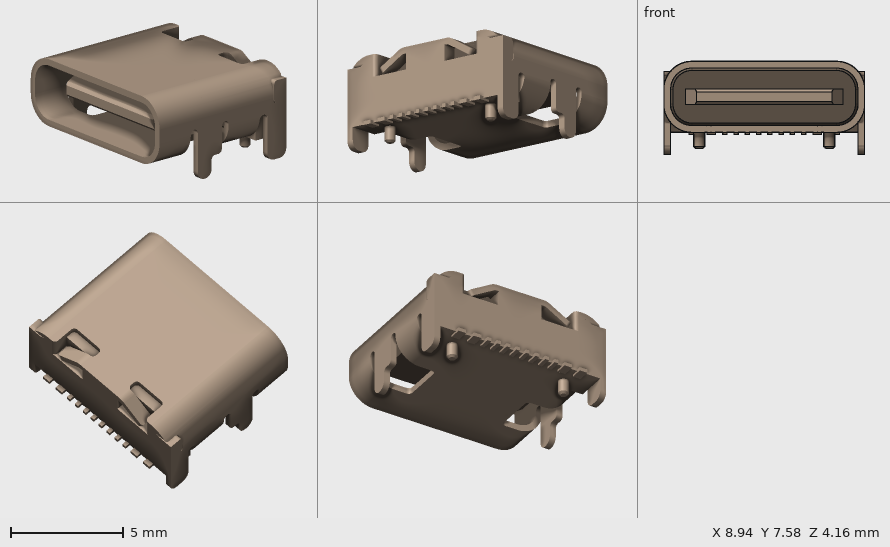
import cadquery as cq
import math


shell_width = 8.94
shell_height = 3.165
shell_length = 7.35
sheet = 0.3
corner_radius = 1.25
half_width = shell_width / 2
half_height = shell_height / 2
inner_half_width = half_width - sheet
side_flat_half = half_height - corner_radius

leg_bottom = -2.575
leg_tip_radius = 0.39
front_leg_start = 2.22
front_leg_end = 3.02
front_leg_shoulder_end = 3.61
shoulder_radius = 0.2
leg_slot = 0.4
window_edge = 2.38
rear_leg_start = 6.25
rear_cut_start = 5.82
rear_slot_radius = 0.21

side_notch_start = 6.62
ear_start = 6.65
ear_bottom = 0.05
ear_top = 1.13
ear_radius = 0.17
ear_depth = 0.89
notch_lip_radius = 0.12

notch_outer = 2.84
notch_inner = 1.1
notch_start = 6.13
notch_radius = 0.2
roof_lip_radius = 0.2
pocket_start = 6.62
bent_tab_start = 6.69
bent_tab_root = 1.225
bent_tab_tip = 2.66
bent_tab_tip_radius = 0.15
bend_angle = math.radians(30)
bend_radius = 0.58

base_start = 5.185
base_chamfer = 0.11
pocket_floor = 0.54
tongue_start = 0.85
tongue_width = 7.0
tongue_height = 0.71
tongue_tip_width = 6.01
tongue_tip_height = 0.42
tongue_side_taper_length = 0.87
tongue_face_taper_length = 0.14

peg_diameter = 0.5
peg_x = 2.9
peg_y = 6.28
peg_bottom = -2.31
peg_chamfer = 0.1

contact_end = 7.58
contact_start = 6.97
contact_top = -1.5
contact_thickness = 0.18
signal_width = 0.2
signal_pitch = 0.5
signals_per_side = 4
power_width = 0.39
power_places = [2.36, 3.16]


def box(x0, x1, y0, y1, z0, z1):
    """Box between two corners."""
    return cq.Workplane("XY").box(x1 - x0, y1 - y0, z1 - z0, centered=False).translate((x0, y0, z0))


def tube_profile(inset, start, end):
    """Rounded bar along Y whose section is the shell outline moved inwards."""
    return (
        box(inset - half_width, half_width - inset, start, end, inset - half_height, half_height - inset)
        .edges("|Y")
        .fillet(corner_radius - inset)
    )


def both_sides(body):
    """The body and its mirror image across X = 0."""
    return body.union(body.mirror("YZ"))


def leg_windows():
    """Openings in the lower corners that the front and rear legs were bent out of."""
    front_window = (
        box(-half_width, -window_edge, front_leg_start - leg_slot,
            front_leg_shoulder_end + leg_slot, -half_height, -side_flat_half)
        .edges("|Z and >X")
        .fillet(leg_slot / 2)
    )
    for slot_start in (front_leg_start - leg_slot, front_leg_shoulder_end):
        slot_end = (
            cq.Workplane("YZ", origin=(-half_width, 0, 0))
            .center(slot_start + leg_slot / 2, -side_flat_half)
            .circle(leg_slot / 2)
            .extrude(sheet)
        )
        front_window = front_window.union(slot_end)
    return both_sides(front_window)


def foot():
    """Square block of the insulator that fills the shell's lower half between the rear legs."""
    return box(-inner_half_width, inner_half_width, rear_cut_start, shell_length,
               -half_height, -side_flat_half)


def rear_cut():
    """Room for the insulator's foot, with round-topped slots in front of the rear legs."""
    slots = (
        box(-half_width, half_width, rear_cut_start, rear_leg_start, -half_height, -side_flat_half)
        .edges("|X and >Z")
        .fillet(rear_slot_radius)
    )
    return foot().union(slots)


def front_leg():
    """Leg with a wider shoulder on its rear side that ends level with the shell bottom."""
    leg = box(-half_width, -inner_half_width, front_leg_start, front_leg_end, leg_bottom, -side_flat_half)
    shoulder = box(-half_width, -inner_half_width, front_leg_start, front_leg_shoulder_end,
                   -half_height, -side_flat_half)
    leg = leg.edges("|X and <Z").fillet(leg_tip_radius)
    shoulder = shoulder.edges("|X and <Z and >Y").fillet(shoulder_radius)
    inner_corner = cq.selectors.NearestToPointSelector((-half_width + sheet / 2, front_leg_end, -half_height))
    return leg.union(shoulder).edges(inner_corner).fillet(shoulder_radius)


def rear_leg():
    """Straight leg with a rounded tip, flush with the rear end of the shell."""
    return (
        box(-half_width, -inner_half_width, rear_leg_start, shell_length, leg_bottom, -side_flat_half)
        .edges("|X and <Z")
        .fillet(leg_tip_radius)
    )


def ear(start):
    """Block with rounded front corners that reaches from inside the insulator to the side of the shell."""
    return (
        box(-half_width, ear_depth - half_width, start, shell_length, ear_bottom, ear_top)
        .edges("|X and <Y")
        .fillet(ear_radius)
    )


def lip_rounding(radius, depth):
    """Cutter that rounds off a square corner at the origin, with material towards -X and -Y."""
    arc_middle = radius * (math.sqrt(0.5) - 1)
    return (
        cq.Workplane("XY")
        .moveTo(-radius, 0)
        .threePointArc((arc_middle, arc_middle), (0, -radius))
        .lineTo(0, 0)
        .close()
        .extrude(depth)
    )


def side_notch():
    """Opening that clears the ear, with its upper corner at the rear end rounded."""
    rounding = (
        lip_rounding(notch_lip_radius, ear_depth)
        .rotate((0, 0, 0), (0, 1, 0), 90)
        .translate((-half_width, shell_length, ear_top))
    )
    return ear(side_notch_start).union(rounding)


def roof_lip(bottom):
    """Rounding of the outer corner at the rear end of a roof notch, from the given Z to the roof."""
    return lip_rounding(roof_lip_radius, half_height - bottom).translate((-notch_outer, shell_length, bottom))


def roof_notch():
    """L-shaped notch in the roof, open at the rear and wide enough for the bent tab."""
    cross_slot = (
        box(-notch_outer, -notch_inner, notch_start, bent_tab_start, 0, half_height)
        .edges("|Z and (>X or <Y)")
        .fillet(notch_radius)
    )
    opening = box(-notch_outer, -bent_tab_root, bent_tab_start - notch_radius, shell_length, 0, half_height)
    return cross_slot.union(opening).union(roof_lip(0))


def bent_tab():
    """Tab that leaves the roof at its root and slopes down towards the side wall."""
    centre_z = half_height - bend_radius

    def on_bend(radius, angle):
        """Point (X, Z) on the bend, the angle counted from straight up."""
        return (-bent_tab_root - radius * math.sin(angle), centre_z + radius * math.cos(angle))

    inner_radius = bend_radius - sheet
    outer_end = on_bend(bend_radius, bend_angle)
    inner_end = on_bend(inner_radius, bend_angle)
    run = outer_end[0] + bent_tab_tip
    drop = run * math.tan(bend_angle)
    return (
        cq.Workplane("XZ", origin=(0, shell_length, 0))
        .moveTo(*on_bend(bend_radius, 0))
        .threePointArc(on_bend(bend_radius, bend_angle / 2), outer_end)
        .lineTo(outer_end[0] - run, outer_end[1] - drop)
        .lineTo(inner_end[0] - run, inner_end[1] - drop)
        .lineTo(*inner_end)
        .threePointArc(on_bend(inner_radius, bend_angle / 2), on_bend(inner_radius, 0))
        .close()
        .extrude(shell_length - bent_tab_start)
        .faces("<X")
        .edges("not |Y")
        .fillet(bent_tab_tip_radius)
    )


def make_shell():
    """Sheet metal tube with its legs, notches and bent tabs."""
    shell = tube_profile(0, 0, shell_length).cut(tube_profile(sheet, 0, shell_length))
    shell = shell.cut(leg_windows()).cut(rear_cut())
    shell = shell.cut(both_sides(roof_notch())).cut(both_sides(side_notch()))
    for part in (front_leg(), rear_leg(), bent_tab()):
        shell = shell.union(both_sides(part))
    return shell


def tapered_strip(width, tip_width, taper_length):
    """Corners of a strip that narrows over the taper length towards its tip, as (across, Y) pairs."""
    right = [
        (tip_width / 2, tongue_start),
        (width / 2, tongue_start + taper_length),
        (width / 2, base_start),
    ]
    return right + [(-across, y) for across, y in reversed(right)]


def tongue():
    """Flat contact tongue with its tip tapered on all four sides."""
    plan = (
        cq.Workplane("XY", origin=(0, 0, -tongue_height / 2))
        .polyline(tapered_strip(tongue_width, tongue_tip_width, tongue_side_taper_length))
        .close()
        .extrude(tongue_height)
    )
    side = (
        cq.Workplane("ZY", origin=(tongue_width / 2, 0, 0))
        .polyline(tapered_strip(tongue_height, tongue_tip_height, tongue_face_taper_length))
        .close()
        .extrude(tongue_width)
    )
    return plan.intersect(side)


def peg():
    """Round locating peg with a chamfered tip under the foot."""
    return (
        cq.Workplane("XY", origin=(-peg_x, peg_y, peg_bottom))
        .circle(peg_diameter / 2)
        .extrude(-half_height - peg_bottom)
        .faces("<Z")
        .chamfer(peg_chamfer)
    )


def contact(x, width):
    """Flat contact tail that leaves the rear of the insulator."""
    return box(x - width / 2, x + width / 2, contact_start, contact_end,
               contact_top - contact_thickness, contact_top)


def tab_pocket():
    """Room in the insulator for the bent tab, flush with the outer wall of the roof notch."""
    pocket = box(-notch_outer, -notch_inner, pocket_start, shell_length, pocket_floor, half_height)
    return pocket.union(roof_lip(pocket_floor))


def make_insulator():
    """Insulator with its tongue, ears, pegs and contact tails."""
    insulator = tube_profile(sheet, base_start, shell_length).faces("<Y").chamfer(base_chamfer)
    insulator = insulator.union(foot()).union(tongue())
    insulator = insulator.cut(both_sides(tab_pocket()))
    insulator = insulator.union(both_sides(peg())).union(both_sides(ear(ear_start)))
    for number in range(signals_per_side):
        insulator = insulator.union(both_sides(contact((number + 0.5) * signal_pitch, signal_width)))
    for place in power_places:
        insulator = insulator.union(both_sides(contact(place, power_width)))
    return insulator


shell = make_shell()
insulator = make_insulator()
result = cq.Compound.makeCompound([shell.val(), insulator.val()])